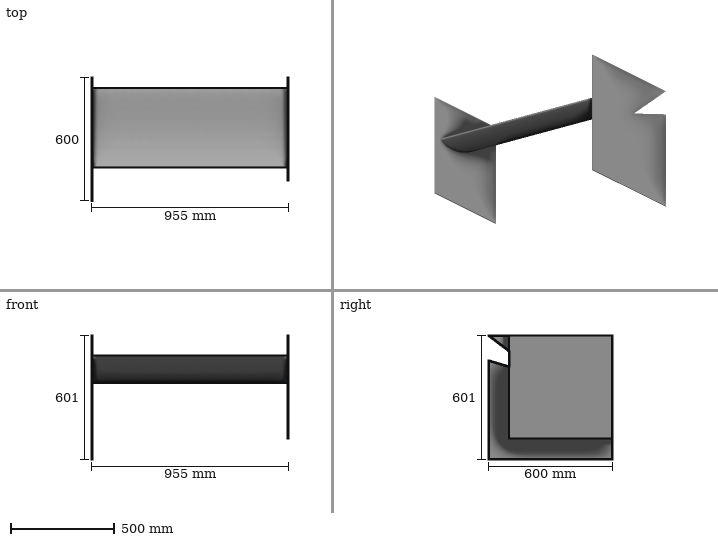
import cadquery as cq
import math

span = 945.0
plate_thickness = 5.0
large_plate_side = 600.0
small_plate_side = 500.0
small_plate_rise = 0.96
small_plate_forward_shift = 0.5

notch_depth = 264.0
notch_tip_drop = 200.3
notch_mouth_drop = 120.5

chord = 401.5
incidence = 15.6
nose_y = -50.0
nose_z = -203.3
camber = 0.095
camber_position = 0.48
thickness_ratio = 0.122
points_per_side = 24


def half_thickness(x):
    """Half thickness of the section at chord fraction x, closing to zero at the tail."""
    polynomial = 0.2969 * math.sqrt(x) - 0.1260 * x - 0.3516 * x**2 + 0.2843 * x**3 - 0.1036 * x**4
    return 5 * thickness_ratio * polynomial


def camber_line(x):
    """Height and slope of the camber line at chord fraction x."""
    p = camber_position
    if x < p:
        factor = camber / p**2
        height = factor * (2 * p * x - x**2)
    else:
        factor = camber / (1 - p) ** 2
        height = factor * (1 - 2 * p + 2 * p * x - x**2)
    slope = 2 * factor * (p - x)
    return height, slope


def section_point(x, side):
    """YZ point at chord fraction x; side is 1 on the convex underside and -1 on the concave top."""
    height, slope = camber_line(x)
    offset = side * half_thickness(x)
    tilt = math.atan(slope)
    along = chord * (x - offset * math.sin(tilt))
    below = chord * (height + offset * math.cos(tilt))
    angle = math.radians(incidence)
    y = nose_y - along * math.cos(angle) - below * math.sin(angle)
    z = nose_z + along * math.sin(angle) - below * math.cos(angle)
    return (y, z)


def make_large_plate():
    front_y = -large_plate_side
    outline = [
        (0, 0),
        (front_y, 0),
        (front_y + notch_depth, -notch_tip_drop),
        (front_y, -notch_mouth_drop),
        (front_y, -large_plate_side),
        (0, -large_plate_side),
    ]
    return cq.Workplane("YZ").polyline(outline).close().extrude(plate_thickness)


def make_small_plate():
    plate_x = plate_thickness + span
    front_y = -small_plate_forward_shift - small_plate_side
    bottom_z = small_plate_rise - small_plate_side
    return (
        cq.Workplane("XY", origin=(plate_x, front_y, bottom_z))
        .box(plate_thickness, small_plate_side, small_plate_side, centered=False)
    )


def make_wing():
    angles = [math.pi * i / points_per_side for i in range(points_per_side + 1)]
    stations = [(1 - math.cos(a)) / 2 for a in angles]
    underside = [section_point(x, 1) for x in reversed(stations)]
    top = [section_point(x, -1) for x in stations[1:-1]]
    outline = underside + top + underside[:1]
    return cq.Workplane("YZ", origin=(plate_thickness, 0, 0)).spline(outline).close().extrude(span)


result = make_large_plate().union(make_wing()).union(make_small_plate())